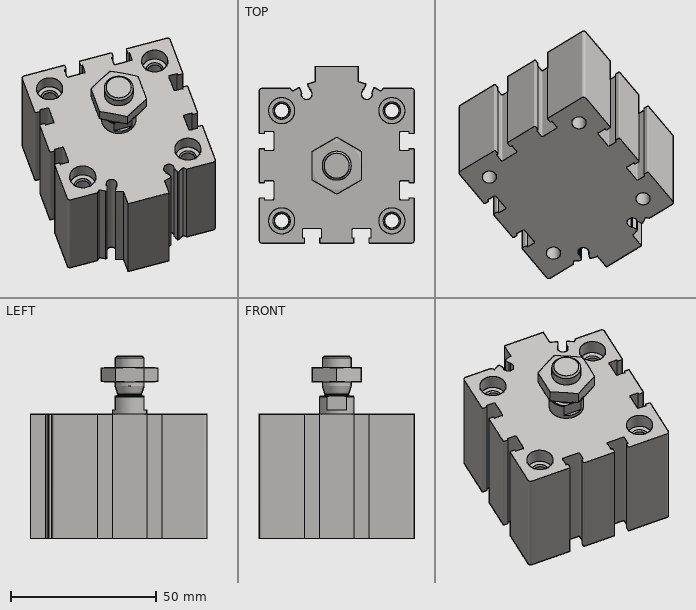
import cadquery as cq
import math


total_height = 63.0
total_depth = 61.0

housing_side = 53.5
half_side = housing_side / 2
housing_height = 42.95
corner_radius = 1.0
rail_width = 14.85
rail_top = total_depth - half_side

slot_offset = 8.5
slot_mouth_width = 5.15
slot_inner_width = 6.5
slot_depth = 5.05
lip_depth = 1.9
lip_radius = 0.3
slot_floor_radius = 0.3

groove_center_x = 10.4
groove_center_y = 24.7
groove_radius = 1.8
groove_exit_angle = 40.0

rail_lip = [(rail_width / 2, 29.05), (10.0, 28.2), (10.0, 27.8), (9.3, 26.35), (8.95, 26.2)]
outer_lip = [(12.05, 24.95), (12.8, 26.9), (13.2, 26.9), (15.2, 25.75), (16.1, half_side)]

hole_spacing = 38.0
hole_diameter = 4.9
counterbore_diameter = 9.0
counterbore_depth = 5.7
countersink_diameter = 6.0

rod_diameter = 12.0
rod_edge_chamfer = 0.25
rod_shoulder_z = 49.15
thread_diameter = 10.0
thread_chamfer = 0.7
thread_end_z = 52.6
taper_foot_diameter = 8.55
taper_foot_z = 50.3
neck_diameter = 8.2
neck_top_z = 49.95
neck_bottom_z = 49.6
neck_foot_diameter = 9.0
flat_width = 10.0
flat_bottom_z = 44.4

nut_across_flats = 17.0
nut_height = 5.0
nut_bottom_z = 54.05
nut_face_diameter = 16.7
nut_corner_drop = 0.25


def housing_blank():
    """Square section with the rail and the two keyhole grooves on its +Y side."""
    exit_angle = math.radians(groove_exit_angle)
    arc_start = (
        groove_center_x - groove_radius * math.cos(exit_angle),
        groove_center_y + groove_radius * math.sin(exit_angle),
    )
    arc_middle = (groove_center_x, groove_center_y - groove_radius)
    arc_end = (groove_center_x + groove_radius, groove_center_y)

    half_outline = cq.Workplane("XY").moveTo(0, rail_top).lineTo(rail_width / 2, rail_top)
    for point in rail_lip + [arc_start]:
        half_outline = half_outline.lineTo(*point)
    half_outline = half_outline.threePointArc(arc_middle, arc_end)
    for point in outer_lip + [(half_side, half_side), (half_side, -half_side), (0, -half_side)]:
        half_outline = half_outline.lineTo(*point)
    blank = half_outline.mirrorY().extrude(housing_height)

    for x in (-half_side, half_side):
        for y in (-half_side, half_side):
            corner = cq.selectors.NearestToPointSelector((x, y, housing_height / 2))
            blank = blank.edges(corner).fillet(corner_radius)
    return blank


def t_slot():
    """Cutter for one T-slot open towards -Y, with rounded lips and floor corners."""
    mouth = slot_mouth_width / 2
    inner = slot_inner_width / 2
    lip_top = lip_depth - half_side
    bottom = slot_depth - half_side
    r = lip_radius
    floor_r = slot_floor_radius
    return (
        cq.Workplane("XY")
        .moveTo(mouth + r, -half_side)
        .radiusArc((mouth, r - half_side), r)
        .lineTo(mouth, lip_top - r)
        .radiusArc((mouth + r, lip_top), r)
        .lineTo(inner, lip_top)
        .lineTo(inner, bottom - floor_r)
        .radiusArc((inner - floor_r, bottom), -floor_r)
        .lineTo(floor_r - inner, bottom)
        .radiusArc((-inner, bottom - floor_r), -floor_r)
        .lineTo(-inner, lip_top)
        .lineTo(-mouth - r, lip_top)
        .radiusArc((-mouth, lip_top - r), r)
        .lineTo(-mouth, r - half_side)
        .radiusArc((-mouth - r, -half_side), r)
        .close()
        .extrude(housing_height)
    )


def mounting_hole():
    """Cutter for one counterbored through hole with a countersink at the counterbore floor."""
    floor_z = housing_height - counterbore_depth
    countersink_depth = (countersink_diameter - hole_diameter) / 2
    profile = [
        (0, 0),
        (hole_diameter / 2, 0),
        (hole_diameter / 2, floor_z - countersink_depth),
        (countersink_diameter / 2, floor_z),
        (counterbore_diameter / 2, floor_z),
        (counterbore_diameter / 2, housing_height),
        (0, housing_height),
    ]
    return cq.Workplane("XZ").polyline(profile).close().revolve(360, (0, 0), (0, 1))


def make_housing():
    housing = housing_blank()
    for side_angle in (0, 90, -90):
        for offset in (-slot_offset, slot_offset):
            slot = t_slot().translate((offset, 0, 0))
            housing = housing.cut(slot.rotate((0, 0, 0), (0, 0, 1), side_angle))
    for x in (-hole_spacing / 2, hole_spacing / 2):
        for y in (-hole_spacing / 2, hole_spacing / 2):
            housing = housing.cut(mounting_hole().translate((x, y, 0)))
    return housing


def make_rod():
    """Rod standing on the housing, with a threaded end, an undercut neck and two wrench flats."""
    profile = [
        (0, housing_height),
        (rod_diameter / 2, housing_height),
        (rod_diameter / 2, rod_shoulder_z - rod_edge_chamfer),
        (rod_diameter / 2 - rod_edge_chamfer, rod_shoulder_z),
        (neck_foot_diameter / 2, rod_shoulder_z),
        (neck_diameter / 2, neck_bottom_z),
        (neck_diameter / 2, neck_top_z),
        (taper_foot_diameter / 2, taper_foot_z),
        (thread_diameter / 2, thread_end_z),
        (thread_diameter / 2, total_height - thread_chamfer),
        (thread_diameter / 2 - thread_chamfer, total_height),
        (0, total_height),
    ]
    rod = cq.Workplane("XZ").polyline(profile).close().revolve(360, (0, 0), (0, 1))
    flat_height = rod_shoulder_z - flat_bottom_z
    for side in (-1, 1):
        flat_cutter = (
            cq.Workplane("XY", origin=(0, side * (flat_width + rod_diameter) / 2, flat_bottom_z))
            .box(rod_diameter, rod_diameter, flat_height, centered=(True, True, False))
        )
        rod = rod.cut(flat_cutter)
    return rod


def make_nut():
    """Hexagonal nut with corners on the Y axis and conical chamfers on both faces."""
    across_corners = nut_across_flats / math.cos(math.radians(30))
    hexagon = (
        cq.Workplane("XY")
        .polygon(6, across_corners)
        .extrude(nut_height)
        .rotate((0, 0, 0), (0, 0, 1), 90)
    )
    chamfer_profile = [
        (0, 0),
        (nut_face_diameter / 2, 0),
        (across_corners / 2, nut_corner_drop),
        (across_corners / 2, nut_height - nut_corner_drop),
        (nut_face_diameter / 2, nut_height),
        (0, nut_height),
    ]
    envelope = cq.Workplane("XZ").polyline(chamfer_profile).close().revolve(360, (0, 0), (0, 1))
    bore = cq.Workplane("XY").circle(thread_diameter / 2).extrude(nut_height)
    return hexagon.intersect(envelope).cut(bore).translate((0, 0, nut_bottom_z))


housing = make_housing()
rod = make_rod()
nut = make_nut()

result = cq.Compound.makeCompound([housing.val(), rod.val(), nut.val()])